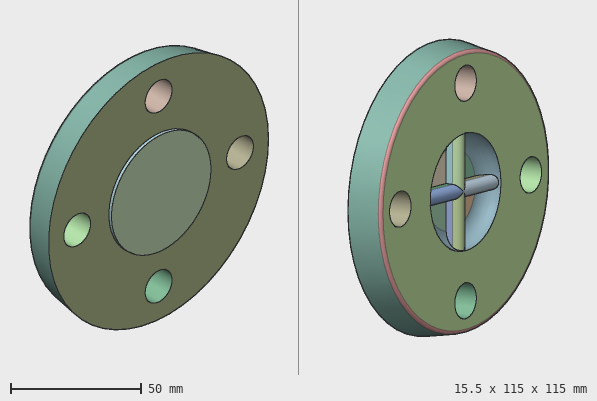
import cadquery as cq
import math

disc_diameter = 115.0
disc_thickness = 14.0
taper_angle = 10.0
edge_fillet = 1.5

raised_diameter = 52.0
raised_height = 1.5

hole_diameter = 14.0
hole_circle_radius = 42.5
hole_count = 4

pocket_diameter = 46.0
pocket_depth = 7.0

rib_width = 6.0
rib_recess = 1.0

disc_radius = disc_diameter / 2
small_face_radius = disc_radius - disc_thickness * math.tan(math.radians(taper_angle))


def x_cylinder(diameter, start, length):
    """Cylinder along +X, centred on the part axis."""
    return cq.Workplane("YZ").workplane(offset=start).circle(diameter / 2).extrude(length)


def make_disc():
    """Tapered disc with a rounded small edge and a raised face on its back."""
    profile = [
        (0, 0),
        (0, small_face_radius),
        (disc_thickness, disc_radius),
        (disc_thickness, 0),
    ]
    cone = cq.Workplane("XY").polyline(profile).close().revolve(360, (0, 0, 0), (1, 0, 0))
    cone = cone.faces("<X").edges().fillet(edge_fillet)
    return cone.union(x_cylinder(raised_diameter, disc_thickness, raised_height))


def make_bolt_holes():
    """Through holes evenly spaced around the axis."""
    return (
        cq.Workplane("YZ")
        .polarArray(hole_circle_radius, 0, 360, hole_count)
        .circle(hole_diameter / 2)
        .extrude(disc_thickness)
    )


def make_pocket():
    """Pocket volume with a quarter-round wall around its flat floor."""
    pocket_radius = pocket_diameter / 2
    floor_radius = pocket_radius - pocket_depth
    arc_mid = pocket_depth * math.sqrt(0.5)
    return (
        cq.Workplane("XY")
        .lineTo(0, pocket_radius)
        .threePointArc((arc_mid, floor_radius + arc_mid), (pocket_depth, floor_radius))
        .lineTo(pocket_depth, 0)
        .close()
        .revolve(360, (0, 0, 0), (1, 0, 0))
    )


def make_rib():
    """One rib along Z across the whole pocket."""
    half_width = rib_width / 2
    round_base = rib_recess + half_width
    return (
        cq.Workplane("XY")
        .moveTo(pocket_depth, -half_width)
        .lineTo(round_base, -half_width)
        .threePointArc((rib_recess, 0), (round_base, half_width))
        .lineTo(pocket_depth, half_width)
        .close()
        .extrude(pocket_diameter / 2, both=True)
    )


rib = make_rib()
cross = rib.union(rib.rotate((0, 0, 0), (1, 0, 0), 90))
result = make_disc().cut(make_bolt_holes()).cut(make_pocket().cut(cross))